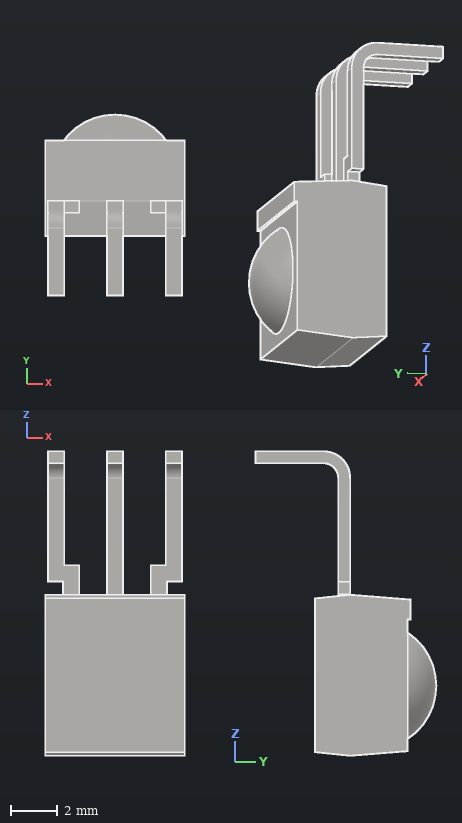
import cadquery as cq


housing_width = 6.0
housing_height = 6.94
front_depth = 1.52
back_depth = 2.46
front_drop = 0.16
back_drop = 0.2
lip_depth = 0.13
lip_bottom = 5.86

lens_radius = 2.74
lens_apex = 3.71
lens_height = 3.02

overall_height = 13.11
lead_pitch = 2.53
lead_width = 0.71
lead_thickness = 0.52
lead_reach = 4.08
bend_radius = 1.15
jog_offset = 0.64
jog_bottom = 7.5


def make_housing():
    lip_back = back_depth + lip_depth
    lip_drop = back_drop * lip_back / back_depth
    block = (
        cq.Workplane("YZ")
        .moveTo(0, 0)
        .lineTo(back_depth, back_drop)
        .lineTo(back_depth, lip_bottom)
        .lineTo(lip_back, lip_bottom)
        .lineTo(lip_back, housing_height - lip_drop)
        .lineTo(0, housing_height)
        .lineTo(-front_depth, housing_height - front_drop)
        .lineTo(-front_depth, front_drop)
        .close()
        .extrude(housing_width / 2, both=True)
    )
    lens_center = (0, lens_apex - lens_radius, lens_height)
    lens_ball = cq.Workplane("XY").sphere(lens_radius).translate(lens_center)
    lens_space = cq.Workplane("XY").box(
        2 * lens_radius, lens_apex - back_depth, 2 * lens_radius, centered=(True, False, True)
    ).translate((0, back_depth, lens_height))
    return block.union(lens_ball.intersect(lens_space))


def make_bent_strip(bottom):
    """Lead centred on X = 0, rising from the given height and bent toward the front."""
    inner_radius = bend_radius - lead_thickness
    underside = overall_height - lead_thickness
    return (
        cq.Workplane("YZ")
        .moveTo(0, bottom)
        .lineTo(0, overall_height - bend_radius)
        .radiusArc((-bend_radius, overall_height), -bend_radius)
        .lineTo(-lead_reach, overall_height)
        .lineTo(-lead_reach, underside)
        .lineTo(-bend_radius, underside)
        .radiusArc((-lead_thickness, overall_height - bend_radius), inner_radius)
        .lineTo(-lead_thickness, bottom)
        .close()
        .extrude(lead_width / 2, both=True)
    )


def make_jog(side):
    """Foot of an outer lead, stepped inward and reaching down to the housing."""
    jog_height = jog_bottom + lead_width - housing_height
    foot_center = side * (lead_pitch - jog_offset)
    return (
        cq.Workplane("XY")
        .box(lead_width, lead_thickness, jog_height, centered=(True, False, False))
        .translate((foot_center, -lead_thickness, housing_height))
    )


def make_lead(side):
    """Side is -1 for the left lead, 0 for the straight middle lead, 1 for the right lead."""
    if side == 0:
        return make_bent_strip(housing_height)
    strip = make_bent_strip(jog_bottom).translate((side * lead_pitch, 0, 0))
    return strip.union(make_jog(side))


housing = make_housing()
leads = [make_lead(side) for side in (-1, 0, 1)]

result = cq.Compound.makeCompound([housing.val(), *[lead.val() for lead in leads]])